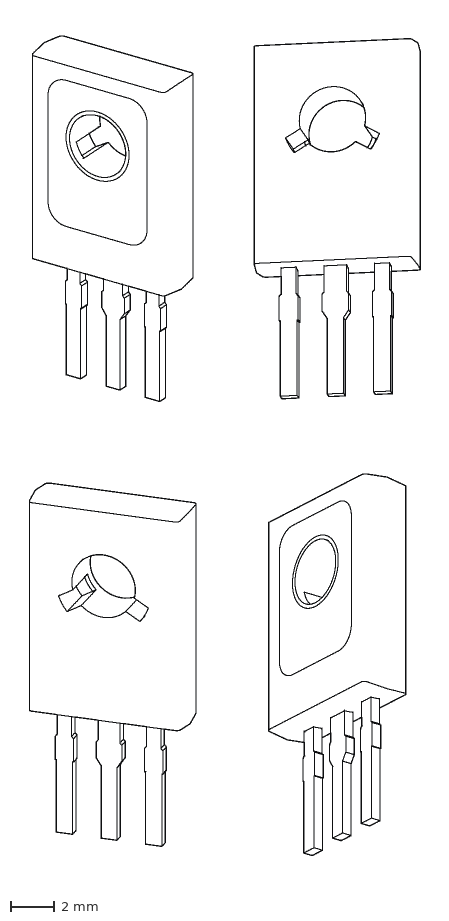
import cadquery as cq


total_height = 16.73
housing_width = 7.6
housing_depth = 2.55
housing_bottom = 6.09
housing_height = total_height - housing_bottom
housing_mid_z = housing_bottom + housing_height / 2
draft_angle = 5.0
side_fillet = 0.2
front_y = -housing_depth / 2
back_y = housing_depth / 2

hole_z = 12.93
hole_diameter = 3.11
notch_radius = 2.35
notch_width = 0.84
notch_slope = 30.0

plate_width = 5.49
plate_bottom = 8.35
plate_top = 15.85
plate_height = plate_top - plate_bottom
plate_thickness = 0.5
plate_corner_radius = 1.0
plate_hole_diameter = 3.5

lead_pitch = 2.19
lead_thickness = 0.5
lead_front_y = 0.02
lead_embedding = 0.84
lead_top = housing_bottom + lead_embedding
collar_top = 4.89
collar_bottom = 3.61
shoulder_height = 0.1
side_neck_width = 0.7
side_collar_width = 0.9
side_tip_width = 0.8
middle_neck_width = 1.07
middle_collar_width = 1.25
middle_tip_width = 0.77
middle_taper_height = 0.37


def front_plane(y, z):
    """Workplane at depth y and height z whose normal points to +Y; local x runs to -X, local y to +Z."""
    return cq.Workplane(cq.Plane(origin=(0, y, z), xDir=(-1, 0, 0), normal=(0, 1, 0)))


def make_plate():
    plate = front_plane(front_y, plate_bottom + plate_height / 2).rect(plate_width, plate_height)
    plate = plate.extrude(plate_thickness).edges("|Y").fillet(plate_corner_radius)
    hole = front_plane(front_y, hole_z).circle(plate_hole_diameter / 2).extrude(plate_thickness)
    return plate.cut(hole)


def make_lead(center_x, neck_width, collar_width, tip_width, taper_height):
    """Flat lead: a neck, a wider collar with sloped shoulders, and a tip below a taper."""
    right_side = [
        (tip_width / 2, 0),
        (tip_width / 2, collar_bottom),
        (collar_width / 2, collar_bottom + taper_height),
        (collar_width / 2, collar_top - shoulder_height),
        (neck_width / 2, collar_top),
        (neck_width / 2, lead_top),
    ]
    left_side = [(-x, z) for x, z in reversed(right_side)]
    lead = front_plane(lead_front_y, 0).polyline(right_side + left_side).close().extrude(lead_thickness)
    return lead.translate((center_x, 0, 0))


def make_drafted_block():
    """Two halves that narrow from the parting plane to the front and to the back."""
    outline = front_plane(0, housing_mid_z).rect(housing_width, housing_height)
    back_half = outline.extrude(housing_depth / 2, taper=draft_angle)
    block = back_half.union(back_half.mirror("XZ"))
    corner_edges = block.faces("<Y or >Y").edges("|Z")
    return corner_edges.fillet(side_fillet)


def make_notch(angle):
    """Radial notch from the back face to the plate, closed by an arc around the hole axis."""
    depth = back_y - (front_y + plate_thickness)
    slot = front_plane(back_y - depth, hole_z).center(notch_radius / 2, 0)
    slot = slot.rect(notch_radius, notch_width).extrude(depth)
    slot = slot.rotate((0, 0, hole_z), (0, 1, hole_z), angle)
    disc = front_plane(back_y - depth, hole_z).circle(notch_radius).extrude(depth)
    return slot.intersect(disc)


def make_housing(inset_bodies):
    housing = make_drafted_block()
    housing = housing.cut(front_plane(front_y, hole_z).circle(hole_diameter / 2).extrude(housing_depth))
    for angle in (-notch_slope, 180 + notch_slope):
        housing = housing.cut(make_notch(angle))
    for body in inset_bodies:
        housing = housing.cut(body)
    return housing


plate = make_plate()
side_leads = [
    make_lead(side * lead_pitch, side_neck_width, side_collar_width, side_tip_width, 0)
    for side in (-1, 1)
]
middle_lead = make_lead(0, middle_neck_width, middle_collar_width, middle_tip_width, middle_taper_height)
housing = make_housing([plate, middle_lead, *side_leads])

result = cq.Compound.makeCompound(
    [housing.val(), plate.val(), middle_lead.val(), *[lead.val() for lead in side_leads]]
)